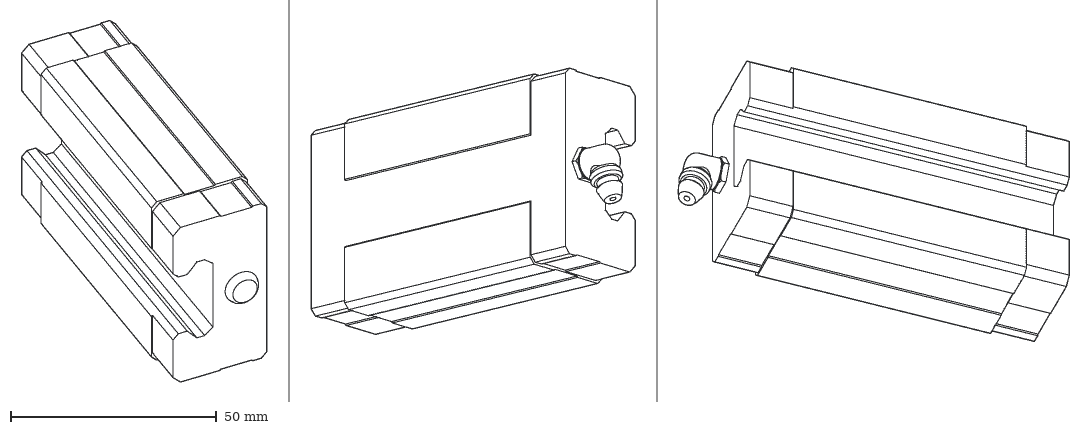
import cadquery as cq
import math

total_length = 96.5
body_length = 60.6
body_half_width = 13.0
body_half_height = 24.0
body_chamfer = 1.4
panel_groove_depth = 0.3
side_groove_half_width = 4.1
back_groove_half_width = 8.6

block_length = 83.1
cap_half_width = 12.7
cap_half_height = 23.4
cap_back_chamfer = 1.5
cap_front_chamfer = 2.0
cap_recess_start = 0.0
cap_recess_end = 8.9
cap_recess_depth = 0.3

channel_floor_y = -1.9
channel_floor_half_height = 9.6
pocket_half_height = 11.5
pocket_back_y = -4.1
pocket_front_y = -6.3
lip_half_height = 8.6
lip_back_y = -8.9
lip_front_y = -11.3

port_y = 5.8
cap_face_x = block_length / 2
port_plane = cq.Plane((-cap_face_x, port_y, 0), xDir=(0, -1, 0), normal=(-1, 0, 0))

plug_base_diameter = 8.8
plug_end_diameter = 6.6
plug_side_radius = 2.3
plug_length = 2.0

hex_across_flats = 7.8
hex_length = 1.5
hex_chamfer = 0.4
washer_diameter = 8.0
washer_thickness = 0.3
elbow_diameter = 7.8
elbow_length = 9.6
elbow_round = 2.5

nipple_tilt = 20.0
collar_diameter = 8.0
collar_top_diameter = 6.8
collar_start = 2.8
collar_full_start = 3.8
collar_full_end = 5.1
collar_end = 5.8
neck_diameter = 5.5
neck_end = 7.3
head_diameter = 6.6
head_start = 7.6
head_middle = 9.5
head_middle_diameter = 5.5
nipple_end = 10.9
nipple_end_diameter = 4.3
hole_diameter = 1.4
hole_depth = 1.4

tilt = math.radians(nipple_tilt)
nipple_reach = head_middle * math.sin(tilt) + head_middle_diameter / 2 * math.cos(tilt)
nipple_setback = total_length - block_length - plug_length - nipple_reach


def mirrored_section(upper_half, length):
    """Extrude an upper half outline of (y, z) points and its mirror, centred on X = 0."""
    lower_half = [(y, -z) for y, z in reversed(upper_half)]
    outline = cq.Workplane("YZ").polyline(upper_half + lower_half).close()
    return outline.extrude(length / 2, both=True)


def channel_outline(front_y):
    """Upper half of the rail channel, from its floor to the front face."""
    lip_chamfer = lip_front_y - front_y
    return [
        (front_y, lip_half_height + lip_chamfer),
        (lip_front_y, lip_half_height),
        (lip_back_y, lip_half_height),
        (pocket_front_y, pocket_half_height),
        (pocket_back_y, pocket_half_height),
        (channel_floor_y, channel_floor_half_height),
    ]


def make_body():
    w = body_half_width
    h = body_half_height
    d = panel_groove_depth
    back_and_side = [
        (w - d, back_groove_half_width - d),
        (w, back_groove_half_width),
        (w, h - body_chamfer),
        (w - body_chamfer, h),
        (side_groove_half_width + d / 2, h),
        (side_groove_half_width - d / 2, h - d),
        (-side_groove_half_width + d / 2, h - d),
        (-side_groove_half_width - d / 2, h),
        (-w + body_chamfer, h),
        (-w, h - body_chamfer),
    ]
    return mirrored_section(back_and_side + channel_outline(-w), body_length)


def make_caps():
    """Both end caps as one bar that runs through the body."""
    w = cap_half_width
    h = cap_half_height
    d = cap_recess_depth
    back_and_side = [
        (w, h - cap_back_chamfer),
        (w - cap_back_chamfer, h),
        (cap_recess_end, h),
        (cap_recess_end - d, h - d),
        (cap_recess_start + d, h - d),
        (cap_recess_start, h),
        (-w + cap_front_chamfer, h),
        (-w, h - cap_front_chamfer),
    ]
    return mirrored_section(back_and_side + channel_outline(-w), block_length)


def make_plug():
    """Round plug on the +X end cap, its side curving in to a flat end."""
    base_radius = plug_base_diameter / 2
    end_radius = plug_end_diameter / 2
    profile = (
        cq.Workplane("XY", origin=(cap_face_x, port_y, 0))
        .lineTo(0, base_radius)
        .radiusArc((plug_length, end_radius), plug_side_radius)
        .lineTo(plug_length, 0)
        .close()
    )
    return profile.revolve(360, (0, 0), (1, 0))


def port_disc(diameter, length):
    """Cylinder on the port axis, standing out of the -X end cap."""
    return cq.Workplane(port_plane).circle(diameter / 2).extrude(length)


def make_hex_base():
    """Hexagon with flats toward +Z and -Z, chamfered corners and a thin washer face."""
    across_corners = hex_across_flats / math.cos(math.pi / 6)
    prism = cq.Workplane(port_plane).polygon(6, across_corners).extrude(hex_length)
    envelope = port_disc(across_corners, hex_length).faces("<X").chamfer(hex_chamfer)
    washer = port_disc(washer_diameter, washer_thickness).translate((-hex_length, 0, 0))
    return prism.intersect(envelope).union(washer)


def make_elbow():
    return port_disc(elbow_diameter, elbow_length).faces("<X").edges().fillet(elbow_round)


def make_nipple():
    """Turned tip with collar, neck and tapered head, tilted down out of the elbow."""
    plane = cq.Plane(
        (-cap_face_x - nipple_setback, port_y, 0),
        xDir=(-math.sin(tilt), 0, -math.cos(tilt)),
        normal=(math.cos(tilt), 0, -math.sin(tilt)),
    )
    stations = [
        (0, collar_top_diameter),
        (collar_start, collar_top_diameter),
        (collar_full_start, collar_diameter),
        (collar_full_end, collar_diameter),
        (collar_end, collar_top_diameter),
        (collar_end, neck_diameter),
        (neck_end, neck_diameter),
        (head_start, head_diameter),
        (head_middle, head_middle_diameter),
        (nipple_end, nipple_end_diameter),
    ]
    points = [(s, d / 2) for s, d in stations]
    outline = cq.Workplane(plane).polyline([(0, 0)] + points + [(nipple_end, 0)]).close()
    nipple = outline.revolve(360, (0, 0), (1, 0))
    hole_plane = cq.Plane(plane.toWorldCoords((nipple_end, 0)), xDir=plane.yDir, normal=plane.xDir)
    hole = cq.Workplane(hole_plane).circle(hole_diameter / 2).extrude(-hole_depth)
    return nipple.cut(hole)


result = make_body().union(make_caps()).union(make_plug())
result = result.union(make_hex_base()).union(make_elbow()).union(make_nipple())